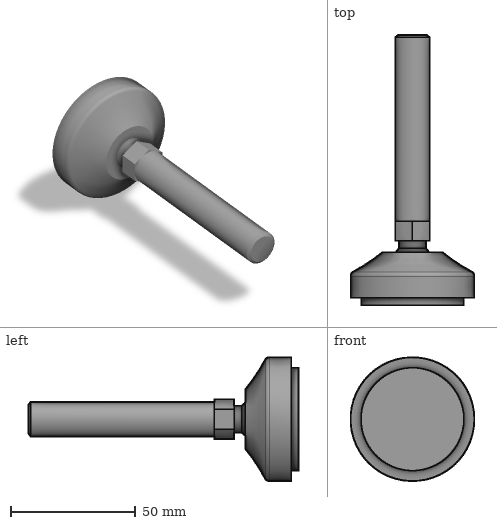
import cadquery as cq
import math


pad_diameter = 41.5
pad_height = 3.0

plate_diameter = 50.0
shoulder_start = 11.8
shoulder_radius = 2.0
shoulder_sweep = math.radians(62)
plate_top = 21.5
plate_top_diameter = 24.0

neck_diameter = 11.0
flare_diameter = 13.4
flare_top = 23.0

hex_bottom = 26.0
hex_height = 8.0
hex_across_flats = 14.0
stud_diameter = 14.0
stud_tip_diameter = 11.546
stud_chamfer_length = 1.0
overall_length = 109.0


def shoulder_point(angle):
    """Point (radius, Y) on the shoulder round, swept up from the rim by angle."""
    centre_radius = plate_diameter / 2 - shoulder_radius
    return (
        centre_radius + shoulder_radius * math.cos(angle),
        shoulder_start + shoulder_radius * math.sin(angle),
    )


def make_foot():
    """Pad, plate and neck as one revolved profile; the flank leaves the shoulder tangentially."""
    shoulder_end = shoulder_point(shoulder_sweep)
    flank_end = (plate_top_diameter / 2, plate_top)
    profile = (
        cq.Workplane("XY")
        .moveTo(0, 0)
        .lineTo(pad_diameter / 2, 0)
        .lineTo(pad_diameter / 2, pad_height)
        .lineTo(plate_diameter / 2, pad_height)
        .lineTo(plate_diameter / 2, shoulder_start)
        .threePointArc(shoulder_point(shoulder_sweep / 2), shoulder_end)
        .tangentArcPoint(flank_end, relative=False)
        .lineTo(flare_diameter / 2, plate_top)
        .lineTo(neck_diameter / 2, flare_top)
        .lineTo(neck_diameter / 2, hex_bottom)
        .lineTo(0, hex_bottom)
        .close()
    )
    return profile.revolve(360, (0, 0, 0), (0, 1, 0))


def section_at(y):
    """Workplane across the axis at height y, extruding towards +Y."""
    return cq.Workplane(cq.Plane(origin=(0, y, 0), xDir=(0, 0, 1), normal=(0, 1, 0)))


def make_hexagon():
    """Spanner hexagon with corners on +Z and -Z and flats on +X and -X."""
    across_corners = hex_across_flats / math.cos(math.pi / 6)
    return section_at(hex_bottom).polygon(6, across_corners).extrude(hex_height)


def make_stud():
    """Plain stud with a chamfered free end."""
    hex_top = hex_bottom + hex_height
    stud = section_at(hex_top).circle(stud_diameter / 2).extrude(overall_length - hex_top)
    chamfer_depth = (stud_diameter - stud_tip_diameter) / 2
    tip_face = stud.faces(">Y")
    return tip_face.chamfer(stud_chamfer_length, chamfer_depth)


result = make_foot().union(make_hexagon()).union(make_stud())